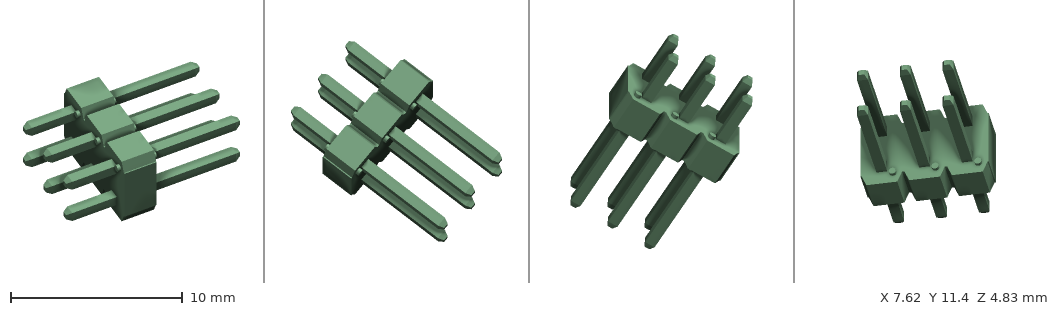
import cadquery as cq

COLUMNS = 3
BLOCK_LENGTH = 7.62
PITCH = BLOCK_LENGTH / COLUMNS
PIN_LENGTH = 11.43

BLOCK_HEIGHT = 4.83
BLOCK_FRONT = -2.46
BLOCK_DEPTH = 2.13
CORNER_HEIGHT = 0.67
CORNER_WIDTH = 0.29
SHOULDER_WIDTH = 0.07

PIN_WIDTH = 0.64
TIP_WIDTH = 0.33
TIP_LENGTH = 0.33

PEG_DIAMETER = 0.42
PEG_HEIGHT = 0.22
PEG_OFFSET_X = 0.66
PEG_OFFSET_Z = 1.75

column_positions = [(i - (COLUMNS - 1) / 2) * PITCH for i in range(COLUMNS)]
row_positions = [-PITCH / 2, PITCH / 2]


def plane_at(y):
    """XZ plane at the given Y, with its normal along +Y and local y along -Z."""
    return cq.Plane(origin=(0, y, 0), xDir=(1, 0, 0), normal=(0, 1, 0))


def block_section(x):
    """One column of the insulator, with four slanted corners."""
    side = PITCH / 2
    shoulder = side - SHOULDER_WIDTH
    flat = shoulder - CORNER_WIDTH
    top = BLOCK_HEIGHT / 2
    shoulder_top = top - CORNER_HEIGHT
    upper = [(-side, shoulder_top), (-shoulder, shoulder_top), (-flat, top),
             (flat, top), (shoulder, shoulder_top), (side, shoulder_top)]
    lower = [(px, -pz) for px, pz in reversed(upper)]
    outline = [(x + px, pz) for px, pz in upper + lower]
    return cq.Workplane(plane_at(BLOCK_FRONT)).polyline(outline).close().extrude(BLOCK_DEPTH)


def pin_tip(end):
    """Tapered pin tip along the Y axis; end is -1 for the front, +1 for the back."""
    return (
        cq.Workplane(plane_at(end * (PIN_LENGTH / 2 - TIP_LENGTH)))
        .rect(PIN_WIDTH, PIN_WIDTH)
        .workplane(offset=end * TIP_LENGTH)
        .rect(TIP_WIDTH, TIP_WIDTH)
        .loft(ruled=True)
    )


def make_pin():
    """Complete pin centred on the Y axis."""
    shaft = cq.Workplane("XY").box(PIN_WIDTH, PIN_LENGTH - 2 * TIP_LENGTH, PIN_WIDTH)
    return shaft.union(pin_tip(-1)).union(pin_tip(1))


def make_peg():
    """Peg on the Y axis, running through the block and standing proud of both faces."""
    return (
        cq.Workplane(plane_at(BLOCK_FRONT - PEG_HEIGHT))
        .circle(PEG_DIAMETER / 2)
        .extrude(BLOCK_DEPTH + 2 * PEG_HEIGHT)
    )


pin = make_pin()
peg = make_peg()

result = block_section(column_positions[0])
for column_x in column_positions[1:]:
    result = result.union(block_section(column_x))

for column_x in column_positions:
    for row_z in row_positions:
        result = result.union(pin.translate((column_x, 0, row_z)))
    for side in (-1, 1):
        result = result.union(peg.translate((column_x + side * PEG_OFFSET_X, 0, side * PEG_OFFSET_Z)))